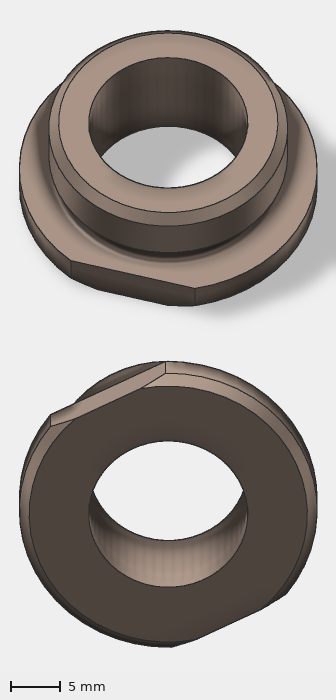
import cadquery as cq
import math

flange_diameter = 29.95
flats_width = 27.0
flange_height = 4.0

collar_diameter = 24.0
total_height = 12.0
bore_diameter = 16.0

chamfer = 1.0
groove_radius = 1.0

flange_radius = flange_diameter / 2
collar_radius = collar_diameter / 2
bore_radius = bore_diameter / 2

groove_center_z = flange_height + groove_radius


def groove_point(angle_deg):
    """Point (r, z) on the groove arc; 180 degrees is its innermost point."""
    angle = math.radians(angle_deg)
    return (
        collar_radius + groove_radius * math.cos(angle),
        groove_center_z + groove_radius * math.sin(angle),
    )


cone_top_z = groove_center_z + groove_radius * math.sqrt(2)


def turned_body():
    """Revolve the half section of flange, groove, collar and bore."""
    return (
        cq.Workplane("XZ")
        .moveTo(bore_radius, 0)
        .lineTo(flange_radius - chamfer, 0)
        .lineTo(flange_radius, chamfer)
        .lineTo(flange_radius, flange_height)
        .lineTo(*groove_point(270))
        .threePointArc(groove_point(180), groove_point(135))
        .lineTo(collar_radius, cone_top_z)
        .lineTo(collar_radius, total_height - chamfer)
        .lineTo(collar_radius - chamfer, total_height)
        .lineTo(bore_radius, total_height)
        .close()
        .revolve(360, (0, 0, 0), (0, 1, 0))
    )


def flats_envelope():
    """Block whose Y faces trim the flange to the flats."""
    return cq.Workplane("XY").box(
        flange_diameter, flats_width, total_height, centered=(True, True, False)
    )


result = turned_body().intersect(flats_envelope())